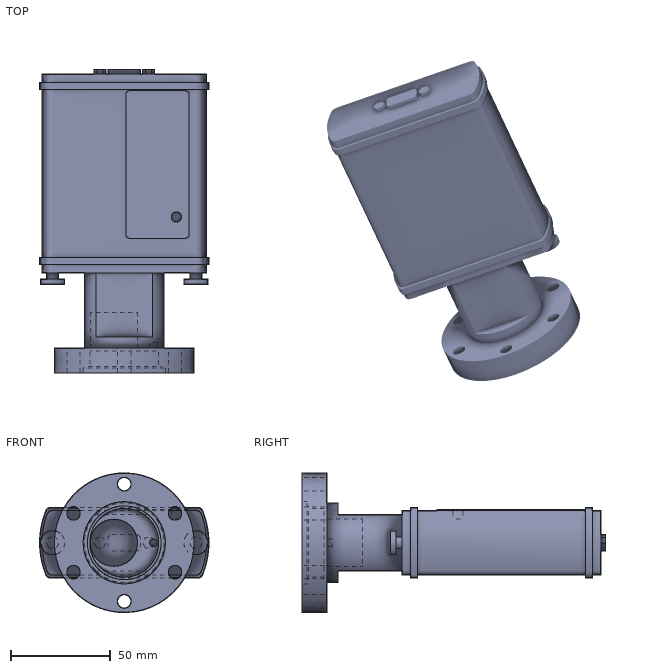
import cadquery as cq
import math

total_length = 152.0

flange_diameter = 69.9
flange_thickness = 12.5
bolt_circle_radius = 29.3
bolt_hole_diameter = 6.7
bolt_count = 6

recess_diameter = 41.2
recess_depth = 2.5
seal_rim_diameter = 37.0
seal_rim_depth = 3.3
port_diameter = 34.5
port_depth = 11.1
bore_diameter = 23.5
bore_offset = -5.2
bore_depth = 30.4
pilot_diameter = 3.8
pilot_offset = 14.6
pilot_depth = 15.2

neck_diameter = 40.0
neck_flat_height = 14.1
neck_flat_start = 18.1

housing_start = 50.2
housing_end = 149.7
housing_radius = 41.2
housing_half_height = 16.1
housing_corner_radius = 3.0

band_rise = 1.5
band_width = 3.5
band_inset = 4.3
band_radius = 42.4
band_half_height = housing_half_height + band_rise
front_band_corner_radius = 2.3
rear_band_corner_radius = housing_corner_radius + band_rise

button_offset = 35.9
button_stem_diameter = 6.0
button_stem_length = 3.2
button_head_diameter = 12.0
button_head_thickness = 2.6

connector_width = 16.1
connector_height = 8.2
connector_corner_radius = 2.0
standoff_offset = 12.2
standoff_corner_diameter = 6.1

label_left = 0.8
label_width = 31.8
label_start = 67.5
label_length = 73.9
label_corner_radius = 2.0
label_thickness = 0.5

label_hole_diameter = 5.0
label_hole_x = 26.1
label_hole_y = 78.1
label_hole_depth = 4.5


def plane_at(y):
    """Plane across the Y axis whose normal points to +Y and whose local y is Z."""
    return cq.Plane(origin=(0, y, 0), xDir=(-1, 0, 0), normal=(0, 1, 0))


def cylinder(diameter, start, end, x=0.0):
    """Cylinder along Y, level with the main axis and shifted sideways by x."""
    return cq.Workplane(plane_at(start)).center(-x, 0).circle(diameter / 2).extrude(end - start)


def curved_box(radius, half_height, corner_radius, start, end):
    """Cylinder about Y cut flat above and below, with rounded long edges."""
    half_width = math.sqrt(radius**2 - half_height**2)
    return (
        cq.Workplane(plane_at(start))
        .moveTo(-half_width, half_height)
        .lineTo(half_width, half_height)
        .threePointArc((radius, 0), (half_width, -half_height))
        .lineTo(-half_width, -half_height)
        .threePointArc((-radius, 0), (-half_width, half_height))
        .close()
        .extrude(end - start)
        .edges("|Y")
        .fillet(corner_radius)
    )


def make_housing():
    housing = curved_box(
        housing_radius, housing_half_height, housing_corner_radius, housing_start, housing_end
    )
    front_band_start = housing_start + band_inset
    rear_band_start = housing_end - band_inset - band_width
    for start, corner_radius in (
        (front_band_start, front_band_corner_radius),
        (rear_band_start, rear_band_corner_radius),
    ):
        band = curved_box(band_radius, band_half_height, corner_radius, start, start + band_width)
        housing = housing.union(band)
    return housing


def make_label():
    return (
        cq.Workplane("XY", origin=(label_left, label_start, housing_half_height))
        .rect(label_width, label_length, centered=False)
        .extrude(label_thickness)
        .edges("|Z")
        .fillet(label_corner_radius)
    )


def make_label_hole():
    top = housing_half_height + label_thickness
    return (
        cq.Workplane("XY", origin=(label_hole_x, label_hole_y, top))
        .circle(label_hole_diameter / 2)
        .extrude(-label_hole_depth)
    )


def make_neck():
    round_part = cylinder(neck_diameter, flange_thickness, neck_flat_start)
    flat_length = housing_start - neck_flat_start
    flat_part = cylinder(neck_diameter, neck_flat_start, housing_start).intersect(
        cq.Workplane(plane_at(neck_flat_start))
        .rect(neck_diameter, 2 * neck_flat_height)
        .extrude(flat_length)
    )
    return round_part.union(flat_part)


def make_button(x):
    stem_start = housing_start - button_stem_length
    stem = cylinder(button_stem_diameter, stem_start, housing_start, x)
    head = cylinder(button_head_diameter, stem_start - button_head_thickness, stem_start, x)
    return stem.union(head)


def make_connector():
    height = total_length - housing_end
    connector = (
        cq.Workplane(plane_at(housing_end))
        .rect(connector_width, connector_height)
        .extrude(height)
        .edges("|Y")
        .fillet(connector_corner_radius)
    )
    standoffs = (
        cq.Workplane(plane_at(housing_end))
        .pushPoints([(-standoff_offset, 0), (standoff_offset, 0)])
        .polygon(6, standoff_corner_diameter)
        .extrude(height)
    )
    return connector.union(standoffs)


def make_flange():
    bolt_holes = (
        cq.Workplane(plane_at(0))
        .polarArray(bolt_circle_radius, 90, 360, bolt_count)
        .circle(bolt_hole_diameter / 2)
        .extrude(flange_thickness)
    )
    return cylinder(flange_diameter, 0, flange_thickness).cut(bolt_holes)


def make_port():
    """Stepped opening cut into the flange face."""
    port = cylinder(recess_diameter, 0, recess_depth)
    port = port.union(cylinder(seal_rim_diameter, 0, seal_rim_depth))
    port = port.union(cylinder(port_diameter, 0, port_depth))
    port = port.union(cylinder(bore_diameter, port_depth, bore_depth, bore_offset))
    return port.union(cylinder(pilot_diameter, port_depth, pilot_depth, pilot_offset))


result = make_housing().union(make_label()).union(make_neck()).union(make_flange())
for side in (-1, 1):
    result = result.union(make_button(side * button_offset))
result = result.union(make_connector()).cut(make_port()).cut(make_label_hole())